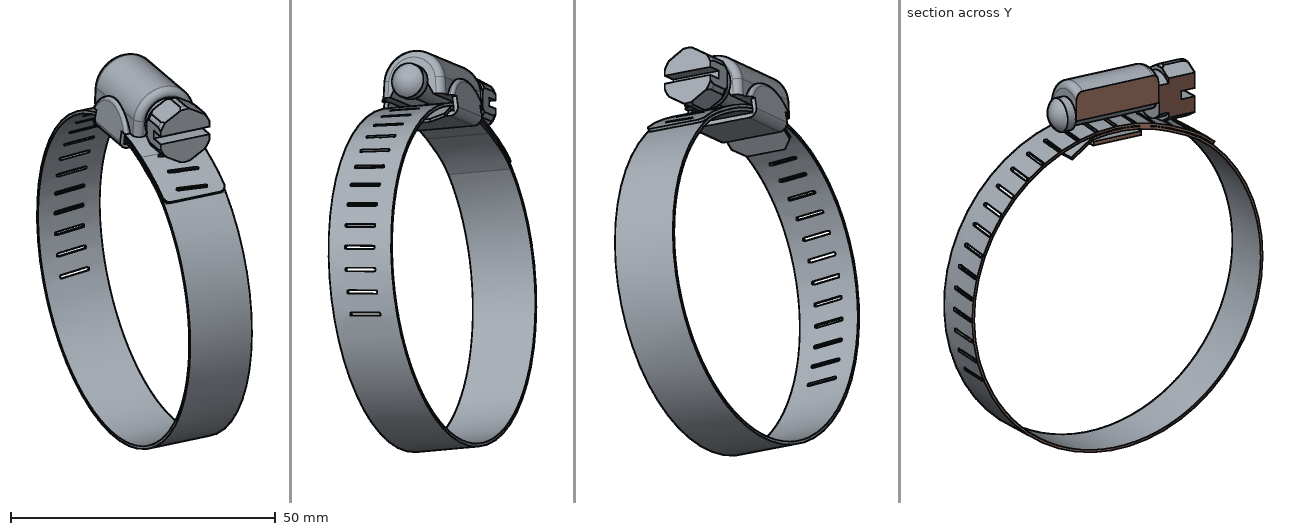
import cadquery as cq
import math


ring_diameter = 65.17
ring_radius = ring_diameter / 2
band_thickness = 0.6
band_width = 13.0
layer_gap = 0.05
layer_step = band_thickness + layer_gap
ramp_start_angle = 69.0
ramp_end_angle = 49.0
outer_end_corner = 1.3
inner_end_corner = 2.2
inner_tail_angle = 100.0
inner_tail_end_x = -10.4
inner_tail_end_z = 28.3
inner_tail_slope = 31.0

slot_pitch_angle = 7.5
slot_first_angle = 7 * slot_pitch_angle
slot_count = 21
slot_length = 6.25
slot_width = 0.65
slot_tilt = 5.0
slot_cut_depth = 2 * band_thickness

axis_z = 35.93
shank_radius = 2.6
tip_radius = 3.3
tip_base_x = -11.1
tip_end_x = -12.85
collar_radius = 4.5
head_start_x = 11.38
head_end_x = 17.3
head_across_flats = 10.3
head_radius = 5.65
head_inner_bevel_length = 0.8
head_inner_bevel_depth = 0.27
head_outer_bevel_length = 1.1
head_outer_bevel_depth = 0.18
drive_slot_width = 1.58
drive_slot_depth = 2.96

housing_length = 18.5
overall_height = 74.77
housing_top = overall_height - ring_radius
housing_bottom = 33.34
arch_end_z = 36.67
arch_half_width = 6.24
housing_foot_half_width = 6.43
housing_end_fillet = 1.4
throat_flare = 30.0

saddle_width = 15.63
saddle_half_width = saddle_width / 2
saddle_bottom = 29.65
strap_length = 10.7
strap_thickness = 0.9
strap_bend_z = 31.27
strap_bend_margin = 0.01
strap_bend_fillet = strap_bend_z - saddle_bottom - strap_bend_margin
ear_top = 37.6
ear_half_length = 6.9
ear_edge_fillet = 0.7
ear_plane_z = 37.0
ear_plane_half_width = 6.95


def polar(radius, angle):
    a = math.radians(angle)
    return (radius * math.cos(a), radius * math.sin(a))


def heading(angle, sign):
    """Direction around the ring: sign +1 is counter-clockwise."""
    a = math.radians(angle)
    return (-sign * math.sin(a), sign * math.cos(a))


def ramp(profile, radius, end_radius, start_angle, end_angle):
    """Smooth change of radius, tangent to the ring at both ends."""
    sign = math.copysign(1, end_angle - start_angle)
    return profile.spline(
        [polar(radius, start_angle), polar(end_radius, end_angle)],
        tangents=[heading(start_angle, sign), heading(end_angle, sign)],
    )


def arc(profile, radius, start_angle, end_angle):
    middle = (start_angle + end_angle) / 2
    return profile.threePointArc(polar(radius, middle), polar(radius, end_angle))


def band_profile():
    """Edge outline of the strip: outer overlap, one full turn, inner overlap, bent inner tail."""
    outer = ring_radius
    inner = ring_radius - band_thickness
    start, end = ramp_start_angle, ramp_end_angle
    turn_end = end + 360
    slope = math.radians(inner_tail_slope)
    tail_far = (
        inner_tail_end_x + band_thickness * math.sin(slope),
        inner_tail_end_z - band_thickness * math.cos(slope),
    )

    p = cq.Workplane("XZ", origin=(0, band_width / 2, 0)).moveTo(*polar(outer + layer_step, end))
    p = ramp(p, outer + layer_step, outer, end, start)
    p = arc(p, outer, start, turn_end)
    p = ramp(p, outer, outer - layer_step, end, start)
    p = arc(p, outer - layer_step, start, inner_tail_angle)
    p = p.lineTo(inner_tail_end_x, inner_tail_end_z).lineTo(*tail_far)
    p = p.lineTo(*polar(inner - layer_step, inner_tail_angle))
    p = arc(p, inner - layer_step, inner_tail_angle, start)
    p = ramp(p, inner - layer_step, inner, start, end)
    p = arc(p, inner, turn_end, start)
    p = ramp(p, inner, inner + layer_step, start, end)
    return p.close()


def band_slot(angle):
    """Cutter for one tilted slot, reaching through the outer layer only."""
    progress = max(0, (ramp_start_angle - angle) / (ramp_start_angle - ramp_end_angle))
    rise = layer_step * progress ** 2 * (3 - 2 * progress)
    floor_radius = ring_radius + rise - band_thickness - layer_gap / 2
    x, z = polar(floor_radius, angle)
    a = math.radians(angle)
    plane = cq.Plane(origin=(x, 0, z), xDir=(0, 1, 0), normal=(math.cos(a), 0, math.sin(a)))
    return (
        cq.Workplane(plane)
        .slot2D(slot_length, slot_width, -slot_tilt)
        .extrude(slot_cut_depth)
    )


def end_corners(x, z):
    """Selects the edges whose centres lie within one strip thickness of an end of the strip."""
    reach = band_thickness
    return cq.selectors.BoxSelector(
        (x - reach, -band_width, z - reach), (x + reach, band_width, z + reach)
    )


def make_band():
    band = band_profile().extrude(band_width)
    outer_end = polar(ring_radius + layer_step, ramp_end_angle)
    inner_end = (inner_tail_end_x, inner_tail_end_z)
    band = band.edges(end_corners(*outer_end)).edges("not(|Y)").fillet(outer_end_corner)
    band = band.edges(end_corners(*inner_end)).edges("not(|Y)").chamfer(inner_end_corner)
    for i in range(slot_count):
        band = band.cut(band_slot(slot_first_angle + i * slot_pitch_angle))
    return band


def screw_shaft():
    """Shank in the housing, held by a domed tip at one end and a collar at the other."""
    housing_end = housing_length / 2
    tip_depth = tip_base_x - tip_end_x
    dome_radius = (tip_radius ** 2 + tip_depth ** 2) / (2 * tip_depth)
    half_angle = math.asin(tip_radius / dome_radius) / 2
    dome_middle = (
        tip_end_x + dome_radius * (1 - math.cos(half_angle)),
        dome_radius * math.sin(half_angle),
    )
    return (
        cq.Workplane("XY", origin=(0, 0, axis_z))
        .moveTo(tip_end_x, 0)
        .threePointArc(dome_middle, (tip_base_x, tip_radius))
        .lineTo(-housing_end, tip_radius)
        .lineTo(-housing_end, shank_radius)
        .lineTo(housing_end, shank_radius)
        .lineTo(housing_end, collar_radius)
        .lineTo(head_start_x, collar_radius)
        .lineTo(head_start_x, 0)
        .close()
        .revolve(360, (0, 0, 0), (1, 0, 0))
    )


def screw_head():
    """Hexagon with its corners turned down, bevelled at both ends, with a drive slot."""
    hex_diameter = head_across_flats / math.cos(math.radians(30))
    head = (
        cq.Workplane("YZ", origin=(head_start_x, 0, axis_z))
        .transformed(rotate=(0, 0, 90))
        .polygon(6, hex_diameter)
        .extrude(head_end_x - head_start_x)
    )
    turned = (
        cq.Workplane("XY", origin=(0, 0, axis_z))
        .moveTo(head_start_x, 0)
        .lineTo(head_start_x, head_radius - head_inner_bevel_depth)
        .lineTo(head_start_x + head_inner_bevel_length, head_radius)
        .lineTo(head_end_x - head_outer_bevel_length, head_radius)
        .lineTo(head_end_x, head_radius - head_outer_bevel_depth)
        .lineTo(head_end_x, 0)
        .close()
        .revolve(360, (0, 0, 0), (1, 0, 0))
    )
    drive_slot = cq.Workplane("XY", origin=(head_end_x - drive_slot_depth / 2, 0, axis_z)).box(
        drive_slot_depth, 2 * head_radius, drive_slot_width
    )
    return head.intersect(turned).cut(drive_slot)


def make_screw():
    return screw_shaft().union(screw_head())


def housing_barrel():
    """Arched block with rounded end edges."""
    return (
        cq.Workplane("YZ", origin=(-housing_length / 2, 0, 0))
        .moveTo(-housing_foot_half_width, housing_bottom)
        .lineTo(-arch_half_width, arch_end_z)
        .threePointArc((0, housing_top), (arch_half_width, arch_end_z))
        .lineTo(housing_foot_half_width, housing_bottom)
        .close()
        .extrude(housing_length)
        .faces("<X or >X")
        .edges("not(<Z)")
        .fillet(housing_end_fillet)
    )


def saddle_section(inset):
    """Cross-section across Y: leaning sides, then upright down to the floor."""
    lean = (saddle_half_width - ear_plane_half_width) / (ear_plane_z - strap_bend_z)
    top_half_width = saddle_half_width - lean * (ear_top - strap_bend_z)
    right = [
        (saddle_half_width - inset, saddle_bottom + inset),
        (saddle_half_width - inset, strap_bend_z),
        (top_half_width - inset, ear_top),
    ]
    left = [(-y, z) for y, z in reversed(right)]
    return cq.Workplane("YZ").polyline(right + left).close()


def saddle_strap():
    """U-shaped strap hanging below the housing."""
    outside = saddle_section(0).extrude(strap_length / 2, both=True)
    outside = outside.edges("|X and <Z").fillet(strap_bend_fillet)
    inside = saddle_section(strap_thickness).extrude(strap_length, both=True)
    below_housing = cq.Workplane("XY", origin=(0, 0, housing_bottom)).rect(
        strap_length, 2 * saddle_half_width
    ).extrude(saddle_bottom - housing_bottom)
    return outside.cut(inside).intersect(below_housing)


def saddle_ears():
    """Arched plates on both housing sides, leaning with the strap, with a rounded rim."""
    arch = (
        cq.Workplane("XZ")
        .moveTo(-ear_half_length, housing_bottom)
        .threePointArc((0, ear_top), (ear_half_length, housing_bottom))
        .close()
        .extrude(saddle_half_width, both=True)
    )
    ears = arch.intersect(saddle_section(0).extrude(ear_half_length, both=True))
    return ears.faces("<Y or >Y").edges("not(<Z)").fillet(ear_edge_fillet)


def make_housing():
    """Barrel and ears around a keyhole: round over the shank, flaring open towards the band."""
    flare = math.radians(throat_flare)
    tangent_y = shank_radius * math.cos(flare)
    tangent_z = axis_z + shank_radius * math.sin(flare)
    foot_y = tangent_y + (tangent_z - housing_bottom) * math.tan(flare)
    throat = (
        cq.Workplane("YZ")
        .moveTo(-foot_y, housing_bottom)
        .lineTo(-tangent_y, tangent_z)
        .threePointArc((0, axis_z + shank_radius), (tangent_y, tangent_z))
        .lineTo(foot_y, housing_bottom)
        .close()
        .extrude(housing_length, both=True)
    )
    body = housing_barrel().union(saddle_ears()).cut(throat)
    return body.union(saddle_strap())


band = make_band()
housing = make_housing()
screw = make_screw()

result = cq.Compound.makeCompound([band.val(), housing.val(), screw.val()])